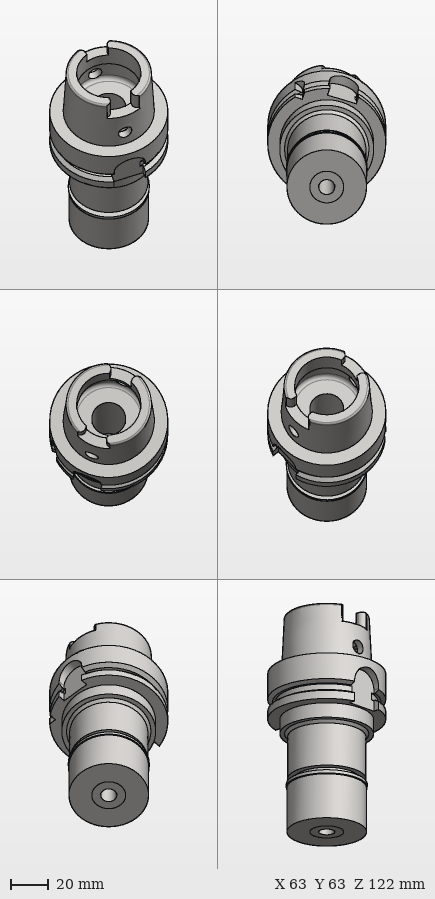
import cadquery as cq
import math


TOTAL_HEIGHT = 122.0
FLANGE_TOP = 90.0
FLANGE_BOTTOM = 64.0
GROOVE_TOP = 73.9
GROOVE_BOTTOM = 70.2
GROOVE_BEVEL_HEIGHT = 1.5
COLLAR_BOTTOM = 55.9
CONE_BOTTOM = 54.2
SHAFT_BOTTOM = 30.1
NUT_TOP = 27.2
NUT_LIP_HEIGHT = 3.7

TAPER_TIP_RADIUS = 22.7
TAPER_BASE_RADIUS = 24.3
TAPER_TIP_ROUND = 1.1
FLANGE_RADIUS = 31.5
GROOVE_RADIUS = 27.5
GROOVE_BEVEL_WIDTH = 2.6
COLLAR_RADIUS = 25.0
CONE_TOP_RADIUS = 22.5
SHAFT_RADIUS = 20.9
NECK_RADIUS = 17.6

MOUTH_RADIUS = 17.1
MOUTH_DEPTH = 13.2
CAVITY_RADIUS = 19.8
CAVITY_DEPTH = 28.3
CAVITY_FLOOR_ROUND = 2.5
BORE_RADIUS = 9.0

TIP_SLOT_HALF_WIDTH = 6.2
TIP_SLOT_CORNER_RADIUS = 3.0
TIP_SLOT_CORNER_X = 17.3
TIP_SLOT_DEPTH_LEFT = 6.0
TIP_SLOT_DEPTH_RIGHT = 10.0

CROSS_HOLE_DIAMETER = 7.6
CROSS_HOLE_DEPTH = 22.9

KEYWAY_FLOOR_X = 26.5
KEYWAY_TOP = 85.2
KEYWAY_LEFT_HALF_WIDTH = 8.0
KEYWAY_RIGHT_HALF_WIDTH = 9.0
NOTCH_FLOOR_X = 20.1
NOTCH_CENTER_Y = 29.2
NOTCH_HALF_WIDTH = 9.0
NOTCH_TOP = 86.9

NUT_RADIUS = 21.2
NUT_RIM_RADIUS = 21.6
NUT_RIM_HEIGHT = 1.8
COLLET_LENGTH = 34.2
COLLET_HOLE_RADIUS = 4.3

LEFT = -1
RIGHT = 1


def cylinder(radius, bottom, top):
    return cq.Workplane("XY").workplane(offset=bottom).circle(radius).extrude(top - bottom)


def holder_blank():
    """Turned outside of the holder, from the taper tip down to the neck inside the nut."""
    bevel_radius = FLANGE_RADIUS - GROOVE_BEVEL_WIDTH
    half_outline = [
        (0, TOTAL_HEIGHT),
        (TAPER_TIP_RADIUS, TOTAL_HEIGHT),
        (TAPER_BASE_RADIUS, FLANGE_TOP),
        (FLANGE_RADIUS, FLANGE_TOP),
        (FLANGE_RADIUS, GROOVE_TOP + GROOVE_BEVEL_HEIGHT),
        (bevel_radius, GROOVE_TOP),
        (GROOVE_RADIUS, GROOVE_TOP),
        (GROOVE_RADIUS, GROOVE_BOTTOM),
        (bevel_radius, GROOVE_BOTTOM),
        (FLANGE_RADIUS, GROOVE_BOTTOM - GROOVE_BEVEL_HEIGHT),
        (FLANGE_RADIUS, FLANGE_BOTTOM),
        (COLLAR_RADIUS, FLANGE_BOTTOM),
        (COLLAR_RADIUS, COLLAR_BOTTOM),
        (CONE_TOP_RADIUS, COLLAR_BOTTOM),
        (SHAFT_RADIUS, CONE_BOTTOM),
        (SHAFT_RADIUS, SHAFT_BOTTOM),
        (NECK_RADIUS, SHAFT_BOTTOM),
        (NECK_RADIUS, NUT_LIP_HEIGHT),
        (0, NUT_LIP_HEIGHT),
    ]
    blank = cq.Workplane("XZ").polyline(half_outline).close().revolve(360, (0, 0, 0), (0, 1, 0))
    return blank.faces(">Z").edges().fillet(TAPER_TIP_ROUND)


def clamping_cavity():
    """Mouth, wider cavity with a rounded floor edge, and the bore that runs on down."""
    mouth_bottom = TOTAL_HEIGHT - MOUTH_DEPTH
    cavity_bottom = TOTAL_HEIGHT - CAVITY_DEPTH
    mouth = cylinder(MOUTH_RADIUS, mouth_bottom, TOTAL_HEIGHT)
    cavity = cylinder(CAVITY_RADIUS, cavity_bottom, mouth_bottom)
    cavity = cavity.faces("<Z").edges().fillet(CAVITY_FLOOR_ROUND)
    bore = cylinder(BORE_RADIUS, NUT_LIP_HEIGHT, cavity_bottom)
    return mouth.union(cavity).union(bore)


def tip_slot(side, depth):
    """Slot from the axis out through one side, flared by the rounded corners of its walls."""
    outer_x = side * FLANGE_RADIUS
    corner_x = side * TIP_SLOT_CORNER_X
    corner_y = TIP_SLOT_HALF_WIDTH + TIP_SLOT_CORNER_RADIUS
    flare_x = corner_x + side * TIP_SLOT_CORNER_RADIUS
    arc_mid_x = corner_x + side * TIP_SLOT_CORNER_RADIUS * math.sqrt(0.5)
    arc_mid_y = corner_y - TIP_SLOT_CORNER_RADIUS * math.sqrt(0.5)
    return (
        cq.Workplane("XY")
        .workplane(offset=TOTAL_HEIGHT - depth)
        .moveTo(0, -TIP_SLOT_HALF_WIDTH)
        .lineTo(corner_x, -TIP_SLOT_HALF_WIDTH)
        .threePointArc((arc_mid_x, -arc_mid_y), (flare_x, -corner_y))
        .lineTo(outer_x, -corner_y)
        .lineTo(outer_x, corner_y)
        .lineTo(flare_x, corner_y)
        .threePointArc((arc_mid_x, arc_mid_y), (corner_x, TIP_SLOT_HALF_WIDTH))
        .lineTo(0, TIP_SLOT_HALF_WIDTH)
        .close()
        .extrude(depth)
    )


def flange_keyway(side, floor_x, center_y, half_width, top):
    """Flat-floored keyway with a half-round top, open at the flange's rim and lower face."""
    shoulder = top - half_width
    return (
        cq.Workplane("YZ", origin=(side * floor_x, center_y, 0))
        .moveTo(-half_width, FLANGE_BOTTOM)
        .lineTo(-half_width, shoulder)
        .threePointArc((0, top), (half_width, shoulder))
        .lineTo(half_width, FLANGE_BOTTOM)
        .close()
        .extrude(side * FLANGE_RADIUS)
    )


def cross_hole():
    return (
        cq.Workplane("YZ")
        .center(0, TOTAL_HEIGHT - CROSS_HOLE_DEPTH)
        .circle(CROSS_HOLE_DIAMETER / 2)
        .extrude(FLANGE_RADIUS, both=True)
    )


def make_holder():
    holder = holder_blank().cut(clamping_cavity()).cut(cross_hole())
    for side, depth in [(LEFT, TIP_SLOT_DEPTH_LEFT), (RIGHT, TIP_SLOT_DEPTH_RIGHT)]:
        holder = holder.cut(tip_slot(side, depth))
    for side, half_width in [(LEFT, KEYWAY_LEFT_HALF_WIDTH), (RIGHT, KEYWAY_RIGHT_HALF_WIDTH)]:
        holder = holder.cut(flange_keyway(side, KEYWAY_FLOOR_X, 0, half_width, KEYWAY_TOP))
    return holder.cut(flange_keyway(LEFT, NOTCH_FLOOR_X, NOTCH_CENTER_Y, NOTCH_HALF_WIDTH, NOTCH_TOP))


def make_nut():
    """Cup around the holder's neck, with a bevelled rim on top and a lip below the neck."""
    rim_bottom = NUT_TOP - NUT_RIM_HEIGHT
    rim_bevel = NUT_RIM_RADIUS - NUT_RADIUS
    half_section = [
        (BORE_RADIUS, 0),
        (NUT_RADIUS, 0),
        (NUT_RADIUS, rim_bottom - rim_bevel),
        (NUT_RIM_RADIUS, rim_bottom),
        (NUT_RIM_RADIUS, NUT_TOP),
        (NECK_RADIUS, NUT_TOP),
        (NECK_RADIUS, NUT_LIP_HEIGHT),
        (BORE_RADIUS, NUT_LIP_HEIGHT),
    ]
    return cq.Workplane("XZ").polyline(half_section).close().revolve(360, (0, 0, 0), (0, 1, 0))


def make_collet():
    """Straight sleeve that fills the lower end of the bore, flush with the nut's lower face."""
    return cylinder(BORE_RADIUS, 0, COLLET_LENGTH).cut(cylinder(COLLET_HOLE_RADIUS, 0, COLLET_LENGTH))


holder = make_holder()
nut = make_nut()
collet = make_collet()

result = cq.Compound.makeCompound([body.solids().val() for body in (holder, nut, collet)])